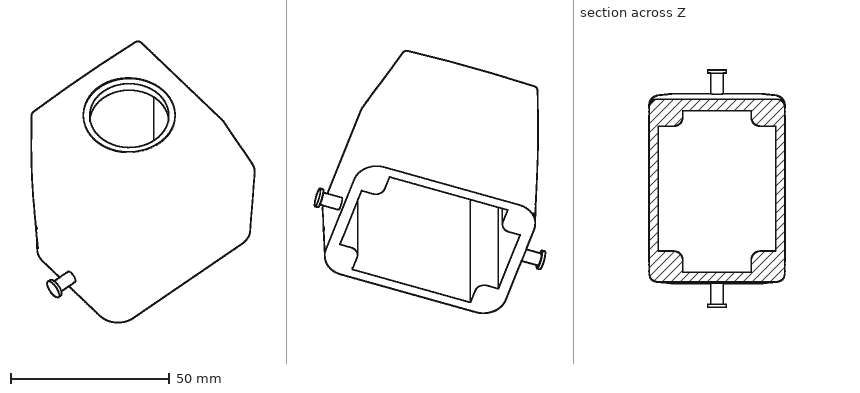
import cadquery as cq
import math

width = 43.0
base_length = 60.0
height = 72.0
draft_angle = 0.75
half_width = width / 2
half_length = base_length / 2

slope_top_y = 15.6
knee_z = 32.8
knee_bend_radius = 10.0
crown_radius = 290.0
crest_y = -6.5

base_corner_radius = 7.5
knee_start_radius = 3.4
knee_end_radius = 2.9
roof_edge_radius = 1.5
front_mid_radius = 3.2
front_mid_position = 0.56

entry_y = -6.0
entry_diameter = 25.0
seat_diameter = 29.0
seat_depth = 0.5
seat_z = height - seat_depth

ceiling_z = 68.0
side_wall = 3.0
end_wall = 3.6
cavity_half_width = half_width - side_wall

boss_x = 13.75
boss_y = 22.7
boss_radius = 3.0

pin_span = 75.0
pin_z = 6.2
pin_diameter = 4.0
pin_head_diameter = 6.0
pin_head_thickness = 1.0

draft_slope = math.tan(math.radians(draft_angle))


def crown_z(y):
    """Height of the crowned roof at a given Y; its crest runs along X at crest_y."""
    return height - crown_radius + math.sqrt(crown_radius**2 - (y - crest_y) ** 2)


knee_y = half_length - draft_slope * knee_z
roof_front_y = -half_length + draft_slope * crown_z(-half_length)
slope_top_z = crown_z(slope_top_y)


def make_block():
    """Extrude the side profile across the width and bend the knee of the back."""
    block = (
        cq.Workplane("YZ", origin=(-half_width, 0, 0))
        .moveTo(-half_length, 0)
        .lineTo(half_length, 0)
        .lineTo(knee_y, knee_z)
        .lineTo(slope_top_y, slope_top_z)
        .threePointArc((crest_y, height), (roof_front_y, crown_z(roof_front_y)))
        .close()
        .extrude(width)
    )
    knee = cq.selectors.NearestToPointSelector((0, knee_y, knee_z))
    return block.edges(knee).fillet(knee_bend_radius)


def radius_law(stations):
    """Turn (position along the edge from 0 to 1, radius) pairs into a smooth radius law."""
    points = cq.occ_impl.shapes.TColgp_HArray1OfPnt2d(1, len(stations))
    for index, (position, radius) in enumerate(stations, start=1):
        points.SetValue(index, cq.occ_impl.shapes.gp_Pnt2d(position, radius))
    return points.Array1()


def straight_law(start_radius, end_radius):
    """Radius law that changes evenly along the edge."""
    middle = (start_radius + end_radius) / 2
    return radius_law([(0, start_radius), (0.5, middle), (1, end_radius)])


def round_corners(block):
    """Round the four upright corners with radii that vary from the base to the roof.

    Each contour follows the side profile: up the back (+Y) and down the front (-Y).
    """
    front_law = radius_law(
        [
            (0, roof_edge_radius),
            (front_mid_position, front_mid_radius),
            (1, base_corner_radius),
        ]
    )
    back_laws = [
        straight_law(base_corner_radius, knee_start_radius),
        straight_law(knee_start_radius, knee_end_radius),
        straight_law(knee_end_radius, roof_edge_radius),
    ]
    fillet = cq.occ_impl.shapes.BRepFilletAPI_MakeFillet(block.val().wrapped)
    for x in (-half_width, half_width):
        for y, laws in ((-half_length, [front_law]), (half_length, back_laws)):
            corner = cq.selectors.NearestToPointSelector((x, y, knee_z / 2))
            fillet.Add(block.edges(corner).val().wrapped)
            contour = fillet.NbContours()
            for edge_index, law in enumerate(laws, start=1):
                fillet.SetRadius(law, contour, edge_index)
    return cq.Workplane(cq.Shape.cast(fillet.Shape()))


def round_roof(block):
    """Round the four edges around the crowned roof."""
    roof = cq.selectors.NearestToPointSelector((0, crest_y, height))
    return block.faces(roof).edges().fillet(roof_edge_radius)


def make_boss(x_side, y_side):
    """Upright half-round boss that merges into the side and end walls of the cavity."""
    side_length = half_width - boss_x
    end_length = half_length - boss_y
    to_side = cq.Workplane().box(side_length, boss_radius + end_length, ceiling_z, centered=False)
    to_side = to_side.translate((boss_x, boss_y - boss_radius, 0))
    to_end = cq.Workplane().box(boss_radius, end_length, ceiling_z, centered=False)
    to_end = to_end.translate((boss_x - boss_radius, boss_y, 0))
    post = cq.Workplane().center(boss_x, boss_y).circle(boss_radius).extrude(ceiling_z)
    boss = to_side.union(to_end).union(post)
    if x_side < 0:
        boss = boss.mirror("YZ")
    if y_side < 0:
        boss = boss.mirror("XZ")
    return boss


def make_cavity():
    """Open-bottomed hollow that follows the outer profile, less the four screw bosses."""
    slope_angle = math.atan2(knee_y - slope_top_y, slope_top_z - knee_z)
    slope_shift = end_wall / math.cos(slope_angle)
    inner_end = half_length - end_wall
    slope_run = math.tan(slope_angle)
    slope_foot_z = knee_z + (knee_y - slope_shift - inner_end) / slope_run
    ceiling_back_y = knee_y - slope_shift - slope_run * (ceiling_z - knee_z)
    cavity = (
        cq.Workplane("YZ", origin=(-cavity_half_width, 0, 0))
        .moveTo(-inner_end, 0)
        .lineTo(inner_end, 0)
        .lineTo(inner_end, slope_foot_z)
        .lineTo(ceiling_back_y, ceiling_z)
        .lineTo(-inner_end, ceiling_z)
        .close()
        .extrude(2 * cavity_half_width)
    )
    for x_side in (-1, 1):
        for y_side in (-1, 1):
            cavity = cavity.cut(make_boss(x_side, y_side))
    return cavity


def cut_cable_entry(shell):
    """Round opening through the roof with a shallow flat seat around it."""
    at_entry = cq.Workplane("XY", origin=(0, entry_y, 0))
    opening = at_entry.workplane(offset=ceiling_z).circle(entry_diameter / 2).extrude(height - ceiling_z)
    seat = at_entry.workplane(offset=seat_z).circle(seat_diameter / 2).extrude(seat_depth)
    return shell.cut(opening).cut(seat)


def make_pin():
    """Headed pin on the -Y end, rooted inside the end wall."""
    root_y = -half_length + end_wall / 2
    shank_length = pin_span / 2 + root_y
    shank = cq.Workplane("XZ", origin=(0, root_y, pin_z)).circle(pin_diameter / 2).extrude(shank_length)
    head = (
        cq.Workplane("XZ", origin=(0, pin_head_thickness - pin_span / 2, pin_z))
        .circle(pin_head_diameter / 2)
        .extrude(pin_head_thickness)
    )
    return shank.union(head)


shell = round_roof(round_corners(make_block()))
shell = cut_cable_entry(shell.cut(make_cavity()))
pin = make_pin()
result = shell.union(pin).union(pin.mirror("XZ"))